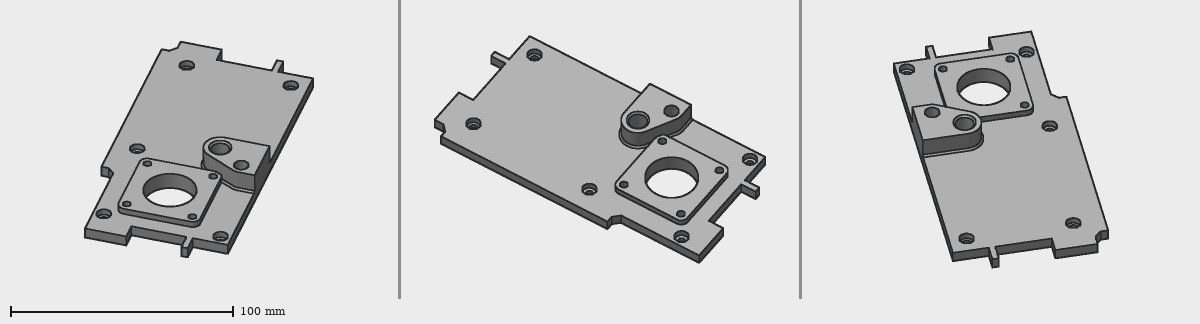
import cadquery as cq
import math

plate_width = 71.5
total_length = 143.63
plate_length = 128.0
plate_thickness = 5.2
end_projection = (total_length - plate_length) / 2

left_step = 6.5
step_chamfer = 3.0
step_y = 37.6
wide_tab_right = 26.0
narrow_tab_left = 52.0
narrow_tab_width = 3.0

pad_center = (plate_width / 2, 26.8)
pad_size = 38.5
pad_height = 3.0
pad_corner_radius = 3.5
pad_bore_diameter = 24.0
pad_hole_spacing = 31.0
pad_hole_diameter = 3.6

boss_top = 15.0
pivot_center = (50.6, 55.1)
pivot_radius = 7.6
heel_center = (63.5, 45.6)
heel_radius = 5.3
boss_foot_leg = 0.9
pivot_bore_diameter = 8.4
pivot_bore_chamfer = 0.9

counterbore_diameter = 6.6
counterbore_floor_z = 2.2
large_screw_diameter = 3.8
small_screw_diameter = 3.2
top_screw_y = 120.0
bottom_screw_y = 5.0
left_screw_x = 11.4
large_screws = [(14.4, top_screw_y), (heel_center[0], top_screw_y)]
small_screws = [
    (left_screw_x, pivot_center[1]),
    (left_screw_x, bottom_screw_y),
    (66.5, bottom_screw_y),
]


def point_on_circle(center, radius, angle):
    return (center[0] + radius * math.cos(angle), center[1] + radius * math.sin(angle))


def make_plate():
    narrow_tab_right = narrow_tab_left + narrow_tab_width
    far_y = plate_length + end_projection
    outline = [
        (left_step, -end_projection),
        (wide_tab_right, -end_projection),
        (wide_tab_right, 0),
        (narrow_tab_left, 0),
        (narrow_tab_left, -end_projection),
        (narrow_tab_right, -end_projection),
        (narrow_tab_right, 0),
        (plate_width, 0),
        (plate_width, plate_length),
        (narrow_tab_right, plate_length),
        (narrow_tab_right, far_y),
        (narrow_tab_left, far_y),
        (narrow_tab_left, plate_length),
        (wide_tab_right, plate_length),
        (wide_tab_right, far_y),
        (left_step, far_y),
        (left_step, plate_length + step_chamfer),
        (left_step - step_chamfer, plate_length),
        (0, plate_length),
        (0, step_y),
        (left_step - step_chamfer, step_y),
        (left_step, step_y - step_chamfer),
    ]
    return cq.Workplane("XY").polyline(outline).close().extrude(plate_thickness)


def make_pad():
    return (
        cq.Workplane("XY")
        .center(*pad_center)
        .rect(pad_size, pad_size)
        .extrude(plate_thickness + pad_height)
        .edges("|Z")
        .fillet(pad_corner_radius)
    )


def boss_outline(z, offset):
    """Two arcs joined by their common tangent, grown outward by the offset."""
    pivot_r = pivot_radius + offset
    heel_r = heel_radius + offset
    run = heel_center[0] - pivot_center[0]
    rise = heel_center[1] - pivot_center[1]
    tangent_angle = math.atan2(rise, run) + math.asin((pivot_r - heel_r) / math.hypot(run, rise))
    touch_angle = tangent_angle - math.pi / 2
    down = -math.pi / 2
    heel_mid_angle = (touch_angle + down) / 2
    return (
        cq.Workplane("XY", origin=(0, 0, z))
        .moveTo(plate_width, pivot_center[1] + pivot_r)
        .lineTo(pivot_center[0], pivot_center[1] + pivot_r)
        .threePointArc(
            point_on_circle(pivot_center, pivot_r, math.pi),
            point_on_circle(pivot_center, pivot_r, touch_angle),
        )
        .lineTo(*point_on_circle(heel_center, heel_r, touch_angle))
        .threePointArc(
            point_on_circle(heel_center, heel_r, heel_mid_angle),
            point_on_circle(heel_center, heel_r, down),
        )
        .lineTo(plate_width, heel_center[1] - heel_r)
        .close()
    )


def make_boss():
    body = boss_outline(0, 0).extrude(boss_top)
    foot_bottom = boss_outline(plate_thickness, boss_foot_leg).wires().val()
    foot_top = boss_outline(plate_thickness + boss_foot_leg, 0).wires().val()
    foot = cq.Workplane(cq.Solid.makeLoft([foot_bottom, foot_top], True))
    return body.union(foot)


def through_cut(points, diameter):
    return cq.Workplane("XY").pushPoints(points).circle(diameter / 2).extrude(boss_top)


def counterbore_cut(points, screw_diameter, top_z):
    head = (
        cq.Workplane("XY", origin=(0, 0, counterbore_floor_z))
        .pushPoints(points)
        .circle(counterbore_diameter / 2)
        .extrude(top_z - counterbore_floor_z)
    )
    return through_cut(points, screw_diameter).union(head)


def pad_hole_cut():
    half = pad_hole_spacing / 2
    corners = [(pad_center[0] + i * half, pad_center[1] + j * half) for i in (-1, 1) for j in (-1, 1)]
    return through_cut(corners, pad_hole_diameter)


def pivot_bore_cut():
    bore_radius = pivot_bore_diameter / 2
    countersink = cq.Solid.makeCone(
        bore_radius,
        bore_radius + pivot_bore_chamfer,
        pivot_bore_chamfer,
        cq.Vector(*pivot_center, boss_top - pivot_bore_chamfer),
    )
    return through_cut([pivot_center], pivot_bore_diameter).union(cq.Workplane(countersink))


result = make_plate().union(make_pad()).union(make_boss())
result = result.cut(through_cut([pad_center], pad_bore_diameter))
result = result.cut(pad_hole_cut())
result = result.cut(pivot_bore_cut())
result = result.cut(counterbore_cut(large_screws, large_screw_diameter, plate_thickness))
result = result.cut(counterbore_cut(small_screws, small_screw_diameter, plate_thickness))
result = result.cut(counterbore_cut([heel_center], large_screw_diameter, boss_top))